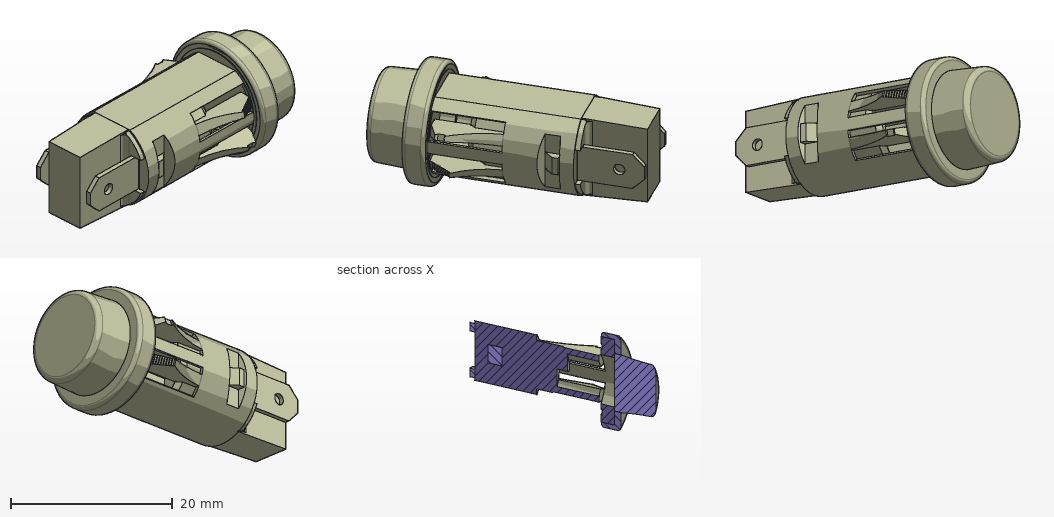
import cadquery as cq
import math


LENS_TIP_Y = 8.2
LENS_BASE_RADIUS = 6.25
LENS_TIP_RADIUS = 6.0
LENS_FILLET = 0.7

BEZEL_RADIUS = 8.0
BEZEL_HEIGHT = 3.0
BEZEL_FILLET = 0.5
LIP_THICKNESS = 1.0

HEAD_RADIUS = 7.45
HEAD_HEIGHT = BEZEL_HEIGHT - LIP_THICKNESS
HEAD_FLAT_Z = 7.25
RELIEF_RADIUS = 6.8
RELIEF_DEPTH = 0.1
BODY_RADIUS = 6.3
BODY_LENGTH = 18.8
BODY_FLAT_Z = 5.5
FRONT_BORE_RADIUS = 5.9
BORE_FLAT_Z = BODY_FLAT_Z - (BODY_RADIUS - FRONT_BORE_RADIUS)

LONG_SLEEVE_FRONT_Y = -4.95
SHORT_SLEEVE_FRONT_Y = -6.5
SLEEVE_CHAMFER_DEPTH = 0.5
SLEEVE_CHAMFER_LENGTH = 0.7
PLUG_RADIUS = 5.35
PLUG_FLAT_X = 4.75

WINDOW_END_Y = -9.53
WINDOW_START_ANGLE = 7.5
WINDOW_END_ANGLE = 43.3
FINGER_ANGLE = 15.6
FINGER_SIDE_INNER = (4.28, 3.15)
FINGER_SIDE_OUTER = (8.55, 2.93)
FINGER_TIP_Y = -0.3
FINGER_INNER_RADIUS = 5.42
FINGER_NOSE_RADIUS = 6.55
FLARE_MID = (6.85, -6.5)
TOOTH_RADIUS = 8.45
TOOTH_Y = -2.6
STEP_RADIUS = 8.15
STEP_Y = -1.68
SHOULDER_RADIUS = 8.4
SHOULDER_Y = -1.35
FLARE_TOP_RADIUS = 8.28
STAIR_TOP_RADIUS = 8.0
STAIR_END_Y = -3.2
STAIR_COUNT = 10

NOTCH_FLOOR_X = 5.05
NOTCH_FRONT_Y = -14.1
NOTCH_FLOOR_FRONT_Y = -14.77
NOTCH_FLOOR_REAR_Y = -16.77
NOTCH_REAR_Y = -17.0
HOOK_TOP_X = 6.1
HOOK_TOP_Y = -15.95
HOOK_WIDTH = 2.35

CORE_FRONT_Y = -13.55
PLATE_RADIUS = 6.1
PLATE_HALF_HEIGHT = 5.35
PLATE_REAR_Y = -19.48
BLOCK_REAR_Y = -27.3
BLOCK_WIDTH = 5.7
BLOCK_HEIGHT = 11.0
BLOCK_TIP_WIDTH = 5.3
BLOCK_TIP_HEIGHT = 10.42
BLOCK_ROOT_FILLET = 0.75

TERMINAL_TIP_Y = -27.47
TERMINAL_ROOT_Y = -15.7
TERMINAL_INNER_X = 3.95
TERMINAL_THICKNESS = 0.65
TERMINAL_WIDTH = 4.85
TERMINAL_CHAMFER = 1.55
TERMINAL_HOLE_DIAMETER = 1.45
TERMINAL_HOLE_Y = -24.23

REACH = 21.4


def cylinder(radius, rear_y, front_y):
    return cq.Workplane("XZ", origin=(0, front_y, 0)).circle(radius).extrude(front_y - rear_y)


def block(x_range, y_range, z_range):
    (x0, x1), (y0, y1), (z0, z1) = x_range, y_range, z_range
    return cq.Workplane("XY").box(x1 - x0, y1 - y0, z1 - z0, centered=False).translate((x0, y0, z0))


def below(top_z):
    """Everything up to a height, for trimming a flat on top."""
    return block((-REACH, REACH), (-2 * REACH, REACH), (-REACH, top_z))


def half_turn(shape):
    return shape.rotate((0, 0, 0), (0, 1, 0), 180)


def make_lens():
    return (
        cq.Workplane("XY")
        .moveTo(0, HEAD_HEIGHT)
        .lineTo(LENS_BASE_RADIUS, HEAD_HEIGHT)
        .lineTo(LENS_BASE_RADIUS, BEZEL_HEIGHT)
        .lineTo(LENS_TIP_RADIUS, LENS_TIP_Y)
        .lineTo(0, LENS_TIP_Y)
        .close()
        .revolve(360, (0, 0), (0, 1))
        .faces(">Y")
        .edges()
        .fillet(LENS_FILLET)
    )


def make_bezel():
    ring = cylinder(BEZEL_RADIUS, 0, BEZEL_HEIGHT).faces("<Y or >Y").edges().fillet(BEZEL_FILLET)
    ring = ring.cut(cylinder(HEAD_RADIUS, 0, HEAD_HEIGHT))
    return ring.cut(cylinder(LENS_BASE_RADIUS, HEAD_HEIGHT, BEZEL_HEIGHT))


def sector(start_angle, end_angle, rear_y, front_y):
    """A wedge about the axis between two angles measured from +X toward +Z."""
    corners = [(0, 0)]
    for angle in (start_angle, end_angle):
        turn = math.radians(angle)
        corners.append((REACH * math.cos(turn), REACH * math.sin(turn)))
    return cq.Workplane("XZ", origin=(0, front_y, 0)).polyline(corners).close().extrude(front_y - rear_y)


def finger_shape(outline):
    """Revolve a half-section and keep the strip between the finger's radial side and its other side."""
    slope = math.tan(math.radians(FINGER_ANGLE))
    inner_x = FINGER_SIDE_INNER[0]
    outer_x = FINGER_SIDE_OUTER[0]
    radial_side = [(inner_x, inner_x * slope), (outer_x, outer_x * slope)]
    strip = (
        cq.Workplane("XZ")
        .polyline([*radial_side, FINGER_SIDE_OUTER, FINGER_SIDE_INNER])
        .close()
        .extrude(REACH)
    )
    return outline.close().revolve(360, (0, 0), (0, 1)).intersect(strip)


def finger_back():
    """The start of a finger's half-section: its tip and inner side, ending at its root."""
    return (
        cq.Workplane("XY")
        .moveTo(FINGER_NOSE_RADIUS, FINGER_TIP_Y)
        .lineTo(FINGER_INNER_RADIUS, FINGER_TIP_Y)
        .lineTo(FINGER_INNER_RADIUS, WINDOW_END_Y)
        .lineTo(BODY_RADIUS, WINDOW_END_Y)
    )


def make_toothed_finger():
    outline = (
        finger_back()
        .threePointArc(FLARE_MID, (TOOTH_RADIUS, TOOTH_Y))
        .lineTo(STEP_RADIUS, TOOTH_Y)
        .lineTo(STEP_RADIUS, STEP_Y)
        .lineTo(SHOULDER_RADIUS, SHOULDER_Y)
    )
    return finger_shape(outline)


def make_stair_finger():
    rise = (STAIR_TOP_RADIUS - FINGER_NOSE_RADIUS) / STAIR_COUNT
    run = (STAIR_END_Y - FINGER_TIP_Y) / STAIR_COUNT
    outline = finger_back().threePointArc(FLARE_MID, (FLARE_TOP_RADIUS, STAIR_END_Y))
    outline = outline.lineTo(STAIR_TOP_RADIUS, STAIR_END_Y)
    for step in range(STAIR_COUNT - 1, -1, -1):
        tread_y = FINGER_TIP_Y + step * run
        tread_inner_radius = FINGER_NOSE_RADIUS + step * rise
        outline = outline.lineTo(tread_inner_radius + rise, tread_y)
        if step > 0:
            outline = outline.lineTo(tread_inner_radius, tread_y)
    return finger_shape(outline)


def make_notches():
    notch = (
        cq.Workplane("XY")
        .moveTo(NOTCH_FLOOR_X, NOTCH_FLOOR_FRONT_Y)
        .lineTo(BODY_RADIUS, NOTCH_FRONT_Y)
        .lineTo(BODY_RADIUS, NOTCH_REAR_Y)
        .lineTo(NOTCH_FLOOR_X, NOTCH_FLOOR_REAR_Y)
        .close()
        .extrude(REACH / 2, both=True)
    )
    return notch.union(half_turn(notch))


def make_hooks():
    hook = (
        cq.Workplane("XY")
        .moveTo(PLUG_FLAT_X, NOTCH_FLOOR_FRONT_Y)
        .lineTo(NOTCH_FLOOR_X, NOTCH_FLOOR_FRONT_Y)
        .lineTo(HOOK_TOP_X, HOOK_TOP_Y)
        .lineTo(HOOK_TOP_X, NOTCH_FLOOR_REAR_Y)
        .lineTo(PLUG_FLAT_X, NOTCH_FLOOR_REAR_Y)
        .close()
        .extrude(HOOK_WIDTH / 2, both=True)
    )
    return hook.union(half_turn(hook))


def make_plug(rear_y, front_y):
    """A round bar with flats on both X sides and on top: the core's front part and the bore around it."""
    flats = block((-PLUG_FLAT_X, PLUG_FLAT_X), (rear_y, front_y), (-REACH, BORE_FLAT_Z))
    return cylinder(PLUG_RADIUS, rear_y, front_y).intersect(flats)


def sleeve_bar(front_y):
    return (
        cq.Workplane("XY")
        .moveTo(0, -BODY_LENGTH)
        .lineTo(FRONT_BORE_RADIUS, -BODY_LENGTH)
        .lineTo(FRONT_BORE_RADIUS, front_y - SLEEVE_CHAMFER_LENGTH)
        .lineTo(FRONT_BORE_RADIUS - SLEEVE_CHAMFER_DEPTH, front_y)
        .lineTo(0, front_y)
        .close()
        .revolve(360, (0, 0), (0, 1))
    )


def make_sleeve():
    """A sleeve with two longer and two shorter quadrants, chamfered at the front."""
    quadrant = block((-REACH, 0), (-REACH, 0), (0, REACH))
    sleeve = sleeve_bar(SHORT_SLEEVE_FRONT_Y)
    for corner in (quadrant, half_turn(quadrant)):
        sleeve = sleeve.union(sleeve_bar(LONG_SLEEVE_FRONT_Y).intersect(corner))
    return sleeve.intersect(below(BODY_FLAT_Z))


def make_housing(plug_bore, hooks):
    head_flats = block((-REACH, REACH), (-REACH, REACH), (-HEAD_FLAT_Z, HEAD_FLAT_Z))
    head = cylinder(HEAD_RADIUS, 0, HEAD_HEIGHT).intersect(head_flats)
    head = head.cut(cylinder(RELIEF_RADIUS, 0, RELIEF_DEPTH))
    body = cylinder(BODY_RADIUS, -BODY_LENGTH, RELIEF_DEPTH).intersect(below(BODY_FLAT_Z))
    bore = cylinder(FRONT_BORE_RADIUS, -BODY_LENGTH, HEAD_HEIGHT).intersect(below(BORE_FLAT_Z))
    housing = head.union(body).cut(bore)

    window = sector(WINDOW_START_ANGLE, WINDOW_END_ANGLE, WINDOW_END_Y, 0)
    windows = window.union(window.mirror("XY"))
    housing = housing.cut(windows).cut(half_turn(windows))

    stair_finger = make_stair_finger()
    toothed_finger = make_toothed_finger().mirror("YZ")
    for finger in (stair_finger, toothed_finger):
        housing = housing.union(finger).union(half_turn(finger))
    return housing.union(make_sleeve()).cut(plug_bore).cut(make_notches()).cut(hooks)


def make_terminal():
    length = TERMINAL_ROOT_Y - TERMINAL_TIP_Y
    return (
        cq.Workplane("XY")
        .box(TERMINAL_THICKNESS, length, TERMINAL_WIDTH, centered=(False, False, True))
        .translate((TERMINAL_INNER_X, TERMINAL_TIP_Y, 0))
        .faces("<Y")
        .edges("|X")
        .chamfer(TERMINAL_CHAMFER)
        .cut(
            cq.Workplane("YZ")
            .center(TERMINAL_HOLE_Y, 0)
            .circle(TERMINAL_HOLE_DIAMETER / 2)
            .extrude(REACH)
        )
    )


def make_block():
    return (
        cq.Workplane("XZ", origin=(0, -BODY_LENGTH, 0))
        .rect(BLOCK_WIDTH, BLOCK_HEIGHT)
        .workplane(offset=-BODY_LENGTH - BLOCK_REAR_Y)
        .rect(BLOCK_TIP_WIDTH, BLOCK_TIP_HEIGHT)
        .loft()
    )


def make_root_fillet():
    """The concave fillet between the plate and the +X side of the block."""
    inner_x = BLOCK_WIDTH / 2
    fillet = (
        cq.Workplane("XY")
        .moveTo(inner_x + BLOCK_ROOT_FILLET, PLATE_REAR_Y)
        .radiusArc((inner_x, PLATE_REAR_Y - BLOCK_ROOT_FILLET), -BLOCK_ROOT_FILLET)
        .lineTo(BLOCK_TIP_WIDTH / 2, PLATE_REAR_Y - BLOCK_ROOT_FILLET)
        .lineTo(BLOCK_TIP_WIDTH / 2, PLATE_REAR_Y)
        .close()
        .extrude(BLOCK_TIP_HEIGHT / 2, both=True)
    )
    return fillet.intersect(cylinder(PLATE_RADIUS, PLATE_REAR_Y - BLOCK_ROOT_FILLET, PLATE_REAR_Y))


def make_core(hooks, terminals):
    core = make_plug(-BODY_LENGTH, CORE_FRONT_Y).union(hooks)
    plate = cylinder(PLATE_RADIUS, PLATE_REAR_Y, -BODY_LENGTH)
    plate_sides = (-PLATE_HALF_HEIGHT, PLATE_HALF_HEIGHT)
    plate = plate.intersect(block((-REACH, REACH), (-REACH, 0), plate_sides))
    half_width = TERMINAL_WIDTH / 2
    recess = block((TERMINAL_INNER_X, REACH), (PLATE_REAR_Y, -BODY_LENGTH), (-half_width, half_width))
    plate = plate.cut(recess).cut(half_turn(recess))
    core = core.union(plate).union(make_block())
    root_fillet = make_root_fillet()
    core = core.union(root_fillet).union(half_turn(root_fillet))
    for terminal in terminals:
        core = core.cut(terminal)
    return core


hooks = make_hooks()
right_terminal = make_terminal()
terminals = [right_terminal, half_turn(right_terminal)]

lens = make_lens()
bezel = make_bezel()
housing = make_housing(make_plug(-BODY_LENGTH, 0), hooks)
core = make_core(hooks, terminals)

result = cq.Compound.makeCompound(
    [lens.val(), bezel.val(), housing.val(), core.val(), *[terminal.val() for terminal in terminals]]
)